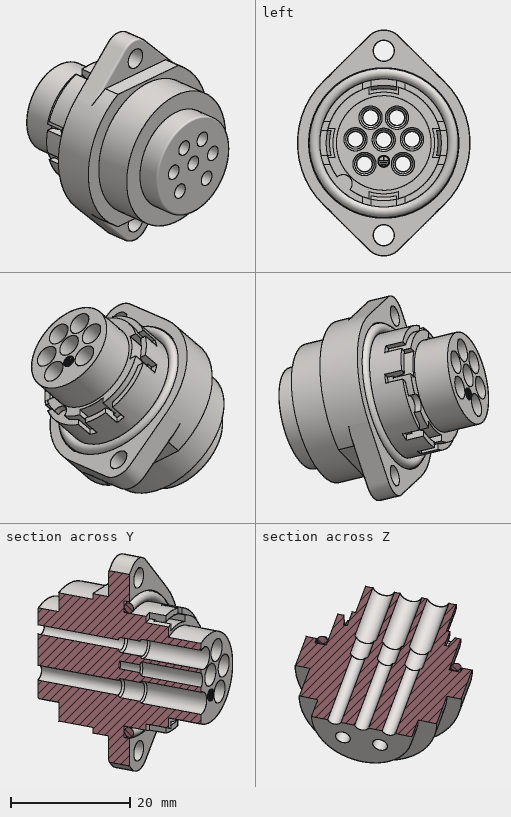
import cadquery as cq
import math


tail_end = -13.67
collar_end = -7.48
tab_end = -6.35
slot_end = -3.2
relief_end = -4.2
flange_face = 0.0
flange_thickness = 4.02
hub_end = 7.0
barrel_end = 13.5
nose_end = 17.5

tail_d = 15.9
collar_d = 19.35
rear_d = 21.5
hub_d = 29.0
barrel_d = 24.0
nose_d = 17.58
nose_round = 0.3

flange_height = 37.97
lug_radius = 3.5
lug_offset = flange_height / 2 - lug_radius
mount_hole_d = 3.5
flange_round = 0.35
hub_flat_height = 25.05

ring_section_d = 1.8
ring_mean_r = rear_d / 2 + ring_section_d / 2
groove_d = 25.3
groove_depth = 1.0

tab_count = 4
tab_width = 4.25
tab_window_width = 7.2
tab_inner_r = 9.1
tab_lead_in = 1.55
relief_width = 4.95
relief_floor_r = 8.55

key_d = 3.05
key_axis_r = 9.65
key_angle = -45.0

cavity_count = 6
cavity_circle_r = 4.8
cavity_pitch = 55.0
centre_cavity_z = 0.55
entry_d = 3.9
waist_d = 3.3
exit_d = 2.6
entry_depth = 11.4
waist_length = 3.8

mark_height = 0.2
mark_z = -3.08
mark_outer_d = 2.0
mark_inner_d = 1.7
mark_line = 0.1
mark_bar_widths = (mark_inner_d, 1.15, 0.7)
mark_top_bar_z = mark_z + 0.1
mark_bar_pitch = 0.35


def disc(diameter, start, end):
    """Cylinder about the X axis between two axial positions."""
    return cq.Workplane("YZ", origin=(start, 0, 0)).circle(diameter / 2).extrude(end - start)


def block(width, z_low, z_high, start, end):
    """Box centred on Y = 0, between two heights above the axis."""
    box = cq.Workplane("XY").box(end - start, width, z_high - z_low, centered=False)
    return box.translate((start, -width / 2, z_low))


def make_flange():
    """Oval plate: the hub circle joined to a rounded lug at each end by tangent lines."""
    hub_r = hub_d / 2
    cos_t = (hub_r - lug_radius) / lug_offset
    sin_t = math.sqrt(1 - cos_t**2)
    hub_y = hub_r * sin_t
    hub_z = hub_r * cos_t
    lug_y = lug_radius * sin_t
    lug_z = lug_offset + lug_radius * cos_t
    tip_z = flange_height / 2
    plate = (
        cq.Workplane("YZ", origin=(flange_face, 0, 0))
        .moveTo(hub_y, hub_z)
        .lineTo(lug_y, lug_z)
        .threePointArc((0, tip_z), (-lug_y, lug_z))
        .lineTo(-hub_y, hub_z)
        .threePointArc((-hub_r, 0), (-hub_y, -hub_z))
        .lineTo(-lug_y, -lug_z)
        .threePointArc((0, -tip_z), (lug_y, -lug_z))
        .lineTo(hub_y, -hub_z)
        .threePointArc((hub_r, 0), (hub_y, hub_z))
        .close()
        .extrude(flange_thickness)
    )
    return plate.faces(">X").edges().fillet(flange_round)


def make_hub():
    """Hub behind the flange, cut flat above and below."""
    flats = cq.Workplane("XY").box(2 * hub_end, hub_d, hub_flat_height)
    return disc(hub_d, flange_face, hub_end).intersect(flats)


def make_latch_window():
    """Space around one latch tab at the top of the rear section, with the tab left standing."""
    outer_r = rear_d / 2
    rear_wall = disc(rear_d, tab_end, slot_end).cut(disc(collar_d, tab_end, slot_end))
    window = rear_wall.intersect(block(tab_window_width, 0, outer_r, tab_end, slot_end))

    relief_ring = disc(rear_d, collar_end, relief_end).cut(
        disc(2 * relief_floor_r, collar_end, relief_end)
    )
    relief = relief_ring.intersect(block(relief_width, 0, outer_r, collar_end, relief_end))

    tab_profile = [
        (tab_end, collar_d / 2),
        (tab_end + tab_lead_in, tab_inner_r),
        (slot_end, tab_inner_r),
        (slot_end, outer_r),
        (tab_end, outer_r),
    ]
    tab_ring = cq.Workplane("XY").polyline(tab_profile).close().revolve(360, (0, 0, 0), (1, 0, 0))
    tab = tab_ring.intersect(block(tab_width, 0, outer_r, tab_end, slot_end))
    return window.union(relief).cut(tab)


def make_key_notch():
    """Round notch in the collar, down to the end face of the rear section."""
    angle = math.radians(key_angle)
    return (
        cq.Workplane("YZ", origin=(collar_end, 0, 0))
        .center(key_axis_r * math.cos(angle), key_axis_r * math.sin(angle))
        .circle(key_d / 2)
        .extrude(tab_end - collar_end)
    )


def make_cavity(y, z):
    """Through hole narrowing in two 45 degree conical steps towards the nose."""
    entry_r = entry_d / 2
    waist_r = waist_d / 2
    exit_r = exit_d / 2
    entry_end = tail_end + entry_depth
    waist_start = entry_end + entry_r - waist_r
    waist_end = waist_start + waist_length
    profile = [
        (tail_end, 0),
        (tail_end, entry_r),
        (entry_end, entry_r),
        (waist_start, waist_r),
        (waist_end, waist_r),
        (waist_end + waist_r - exit_r, exit_r),
        (nose_end, exit_r),
        (nose_end, 0),
    ]
    hole = cq.Workplane("XY").polyline(profile).close().revolve(360, (0, 0, 0), (1, 0, 0))
    return hole.translate((0, y, z))


def make_earth_mark():
    """Raised ring on the tail face, holding a stem that stands on three shortening bars."""
    front = tail_end - mark_height
    ring = disc(mark_outer_d, front, tail_end).cut(disc(mark_inner_d, front, tail_end))
    ring_top = mark_z + (mark_outer_d + mark_inner_d) / 4
    mark = ring.translate((0, 0, mark_z)).union(
        block(mark_line, mark_top_bar_z, ring_top, front, tail_end)
    )
    for i, width in enumerate(mark_bar_widths):
        bar_z = mark_top_bar_z - i * mark_bar_pitch
        bar = block(width, bar_z - mark_line / 2, bar_z + mark_line / 2, front, tail_end)
        mark = mark.union(bar)
    return mark


def make_housing():
    """Stepped shell with flange, seal groove, latch tabs and contact cavities."""
    nose = disc(nose_d, barrel_end, nose_end).faces(">X").edges().fillet(nose_round)
    body = (
        disc(tail_d, tail_end, collar_end)
        .union(disc(collar_d, collar_end, tab_end))
        .union(disc(rear_d, tab_end, flange_face))
        .union(make_flange())
        .union(make_hub())
        .union(disc(barrel_d, hub_end, barrel_end))
        .union(nose)
    )

    groove_end = flange_face + groove_depth
    groove = disc(groove_d, flange_face, groove_end).cut(disc(rear_d, flange_face, groove_end))
    body = body.cut(groove)

    for z in (-lug_offset, lug_offset):
        body = body.cut(disc(mount_hole_d, flange_face, flange_thickness).translate((0, 0, z)))

    window = make_latch_window()
    for i in range(tab_count):
        body = body.cut(window.rotate((0, 0, 0), (1, 0, 0), i * 360 / tab_count))
    body = body.cut(make_key_notch())

    body = body.cut(make_cavity(0, centre_cavity_z))
    for i in range(cavity_count):
        angle = math.radians((i - (cavity_count - 1) / 2) * cavity_pitch)
        y = cavity_circle_r * math.sin(angle)
        z = cavity_circle_r * math.cos(angle)
        body = body.cut(make_cavity(y, z))

    return body.union(make_earth_mark())


def make_sealing_ring():
    """Round-section ring resting on the groove floor and the rear section."""
    section_r = ring_section_d / 2
    section_x = flange_face + groove_depth - section_r
    section = cq.Workplane("XY").center(section_x, ring_mean_r).circle(section_r)
    return section.revolve(360, (-section_x, -ring_mean_r, 0), (0.38 - section_x, -ring_mean_r, 0))


housing = make_housing()
sealing_ring = make_sealing_ring()

result = cq.Compound.makeCompound([housing.val(), sealing_ring.val()])